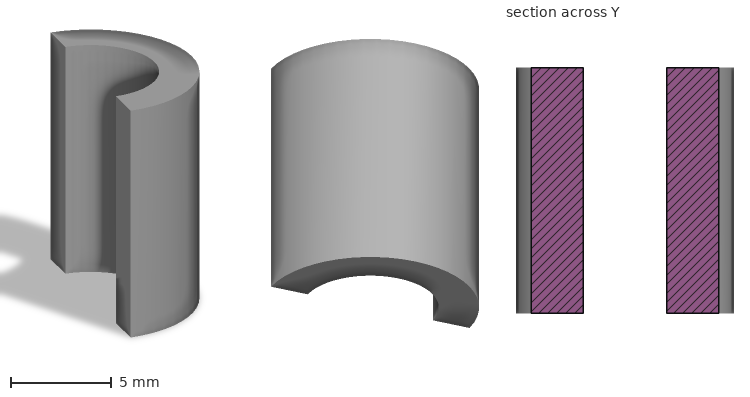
import cadquery as cq

length = 12.2
outer_diameter = 10.8
bore_diameter = 6.8

outer_radius = outer_diameter / 2
bore_radius = bore_diameter / 2

profile = (
    cq.Workplane("XY")
    .moveTo(-outer_radius, 0)
    .threePointArc((0, outer_radius), (outer_radius, 0))
    .lineTo(bore_radius, 0)
    .threePointArc((0, bore_radius), (-bore_radius, 0))
    .close()
)

result = profile.extrude(length)